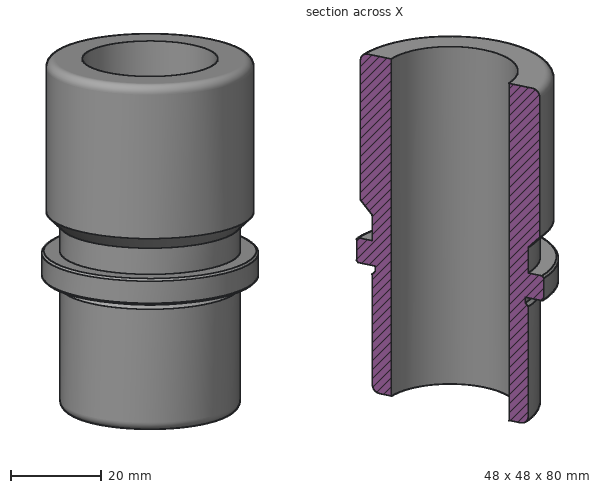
import cadquery as cq

bore_diameter = 30.0
body_diameter = 40.0
head_diameter = 46.0
collar_diameter = 48.0
groove_diameter = 38.5

total_height = 80.0
groove_bottom = 28.0
collar_bottom = 30.0
collar_top = 36.0
neck_top = 42.0

end_fillet = 2.0
collar_chamfer = 0.5
groove_chamfer = (body_diameter - groove_diameter) / 2

body_radius = body_diameter / 2
head_radius = head_diameter / 2
groove_radius = groove_diameter / 2
head_bottom = neck_top + head_radius - body_radius


def cylinder(diameter, bottom, top):
    """Solid cylinder on the Z axis between two heights."""
    return cq.Workplane("XY").workplane(offset=bottom).circle(diameter / 2).extrude(top - bottom)


core = (
    cq.Workplane("XZ")
    .moveTo(0, 0)
    .lineTo(body_radius, 0)
    .lineTo(body_radius, groove_bottom)
    .lineTo(groove_radius, groove_bottom + groove_chamfer)
    .lineTo(groove_radius, collar_bottom)
    .lineTo(body_radius, collar_bottom)
    .lineTo(body_radius, neck_top)
    .lineTo(head_radius, head_bottom)
    .lineTo(head_radius, total_height)
    .lineTo(0, total_height)
    .close()
    .revolve(360, (0, 0, 0), (0, 1, 0))
    .faces("<Z or >Z")
    .edges()
    .fillet(end_fillet)
)

collar = cylinder(collar_diameter, collar_bottom, collar_top).edges().chamfer(collar_chamfer)

bore = cylinder(bore_diameter, 0, total_height)

result = core.union(collar).cut(bore)